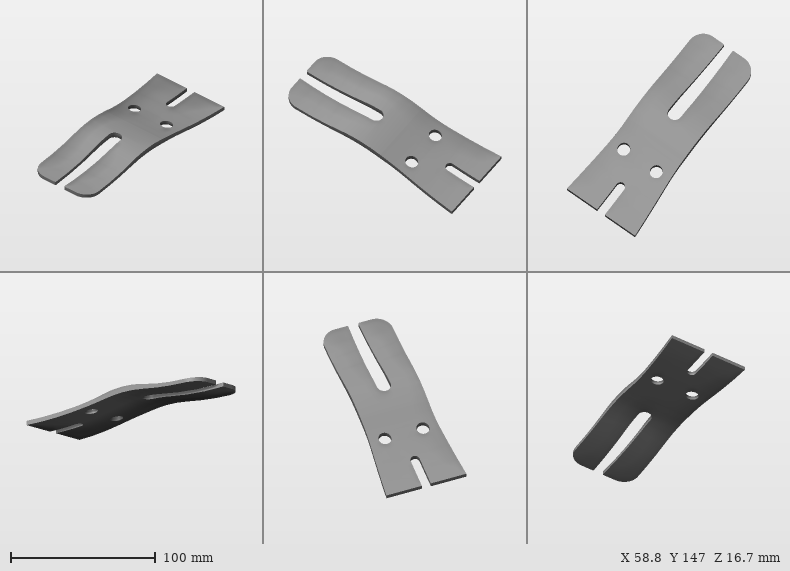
import cadquery as cq

LENGTH = 147.02
BLANK_HEIGHT = 20.0

TOP_BLEND_1 = (64.0, 13.68)
TOP_BLEND_2 = (98.5, 15.84)
TOP_REAR_Z = 2.95
TOP_FRONT_Z = 15.2
TOP_REAR_RADIUS = 305.0

BOTTOM_BLEND_1 = (36.2, 4.2)
BOTTOM_BLEND_2 = (68.3, 10.6)
BOTTOM_BLEND_3 = (99.0, 12.35)
BOTTOM_FRONT_Z = 12.3
BOTTOM_FRONT_RADIUS = 265.0

REAR_HALF_WIDTH = 29.375
TAPER_END = (41.5, 25.5)
WAIST = (57.0, 24.7)
FINGER_START = TOP_BLEND_2[0]
FINGER_HALF_WIDTH = 25.1
CORNER_RADIUS = 11.5
FINGER_EDGE_RADIUS = 7600.0

REAR_SLOT_DEPTH = 25.7
REAR_SLOT_WIDTH = 6.6

FRONT_SLOT_END = 80.1
FRONT_SLOT_WIDTH = 10.0
FRONT_SLOT_MOUTH_WIDTH = 7.4
MOUTH_CORNER_RADIUS = 0.9

HOLE_DIAMETER = 9.0
HOLE_SPACING = 28.0
HOLE_STATION = 45.0


def make_wave():
    """Side profile drawn in YZ and extruded across the full width."""
    def at(point):
        station, height = point
        return (-station, height)

    profile = (
        cq.Workplane("YZ")
        .moveTo(0, TOP_REAR_Z)
        .radiusArc(at(TOP_BLEND_1), TOP_REAR_RADIUS)
        .tangentArcPoint(at(TOP_BLEND_2), relative=False)
        .tangentArcPoint((-LENGTH, TOP_FRONT_Z), relative=False)
        .lineTo(-LENGTH, BOTTOM_FRONT_Z)
        .radiusArc(at(BOTTOM_BLEND_3), -BOTTOM_FRONT_RADIUS)
        .tangentArcPoint(at(BOTTOM_BLEND_2), relative=False)
        .tangentArcPoint(at(BOTTOM_BLEND_1), relative=False)
        .tangentArcPoint((0, 0), relative=False)
        .close()
    )
    return profile.extrude(REAR_HALF_WIDTH, both=True)


def make_blank():
    """Plan outline: tapered rear, blended waist, slightly bowed fingers with rounded corners."""
    half = (
        cq.Workplane("XY")
        .lineTo(REAR_HALF_WIDTH, 0)
        .lineTo(TAPER_END[1], -TAPER_END[0])
        .tangentArcPoint((WAIST[1], -WAIST[0]), relative=False)
        .radiusArc((FINGER_HALF_WIDTH, -LENGTH + CORNER_RADIUS), FINGER_EDGE_RADIUS)
        .tangentArcPoint((FINGER_HALF_WIDTH - CORNER_RADIUS, -LENGTH), relative=False)
        .lineTo(0, -LENGTH)
        .close()
        .extrude(BLANK_HEIGHT)
    )
    return half.union(half.mirror("YZ"))


def make_rear_slot():
    radius = REAR_SLOT_WIDTH / 2
    return (
        cq.Workplane("XY")
        .moveTo(radius, 0)
        .lineTo(radius, radius - REAR_SLOT_DEPTH)
        .threePointArc((0, -REAR_SLOT_DEPTH), (-radius, radius - REAR_SLOT_DEPTH))
        .lineTo(-radius, 0)
        .close()
        .extrude(BLANK_HEIGHT)
    )


def make_front_slot():
    radius = FRONT_SLOT_WIDTH / 2
    mouth = FRONT_SLOT_MOUTH_WIDTH / 2
    round_start = -FRONT_SLOT_END - radius
    return (
        cq.Workplane("XY")
        .moveTo(mouth, -LENGTH)
        .lineTo(radius, -FINGER_START)
        .lineTo(radius, round_start)
        .threePointArc((0, -FRONT_SLOT_END), (-radius, round_start))
        .lineTo(-radius, -FINGER_START)
        .lineTo(-mouth, -LENGTH)
        .close()
        .extrude(BLANK_HEIGHT)
    )


def make_holes():
    return (
        cq.Workplane("XY")
        .pushPoints([(side * HOLE_SPACING / 2, -HOLE_STATION) for side in (-1, 1)])
        .circle(HOLE_DIAMETER / 2)
        .extrude(BLANK_HEIGHT)
    )


def make_plan():
    """Flat plate with both slots, the softened slot mouth and the holes, before taking the wave shape."""
    slotted = make_blank().cut(make_rear_slot()).cut(make_front_slot())
    middle_height = BLANK_HEIGHT / 2
    for side in (-1, 1):
        mouth_corner = (side * FRONT_SLOT_MOUTH_WIDTH / 2, -LENGTH, middle_height)
        slotted = slotted.edges(cq.selectors.NearestToPointSelector(mouth_corner)).fillet(MOUTH_CORNER_RADIUS)
    return slotted.cut(make_holes())


result = make_wave().intersect(make_plan())